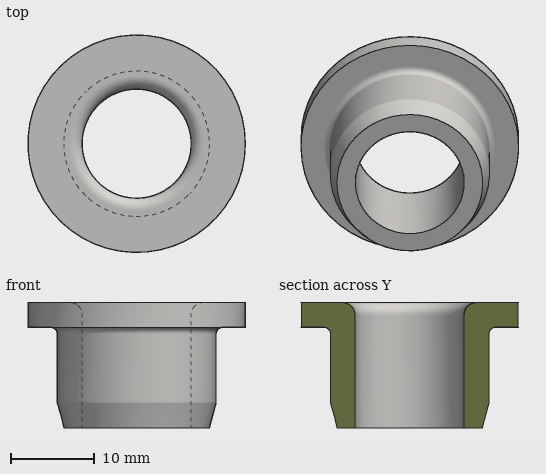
import cadquery as cq
import math

flange_diameter = 26.0
body_diameter = 19.0
bore_diameter = 13.0
total_height = 15.0
flange_thickness = 3.0
bore_lip_radius = 1.5
neck_fillet_radius = 0.78
lead_in_height = 3.0
lead_in_angle = 15.0

flange_underside = total_height - flange_thickness
body_radius = body_diameter / 2
tip_radius = body_radius - lead_in_height * math.tan(math.radians(lead_in_angle))


def make_body():
    """Tapered lead-in followed by the straight cylindrical body."""
    profile = (
        cq.Workplane("XZ")
        .lineTo(tip_radius, 0)
        .lineTo(body_radius, lead_in_height)
        .lineTo(body_radius, flange_underside)
        .lineTo(0, flange_underside)
        .close()
    )
    return profile.revolve(360, (0, 0, 0), (0, 1, 0))


def make_flange():
    return (
        cq.Workplane("XY")
        .workplane(offset=flange_underside)
        .circle(flange_diameter / 2)
        .extrude(flange_thickness)
    )


bushing = make_body().union(make_flange())

underside = bushing.faces("|Z").faces(">Z[-2]")
bushing = underside.edges(cq.selectors.RadiusNthSelector(0)).fillet(neck_fillet_radius)

bushing = bushing.faces(">Z").workplane().hole(bore_diameter)
result = bushing.faces(">Z").edges(cq.selectors.RadiusNthSelector(0)).fillet(bore_lip_radius)